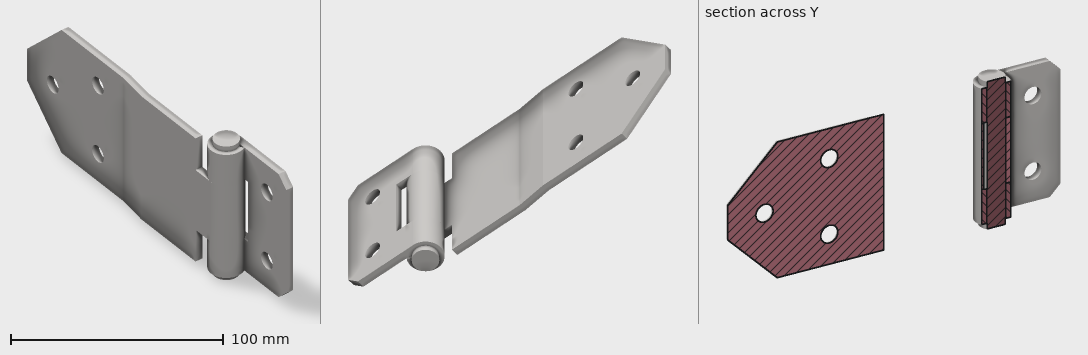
import cadquery as cq
import math


length = 185.0
height = 72.0
plate_thickness = 4.0
tip_to_pin = 145.0
pin_to_leaf_end = length - tip_to_pin

barrel_radius = 8.97
pin_radius = 6.5
pin_length = 78.0
middle_knuckle_height = 35.0
side_knuckle_height = (height - middle_knuckle_height) / 2
plate_inner_offset = barrel_radius - plate_thickness
curl_gap_angle = 1.5
curl_end_angle = math.asin(plate_inner_offset / barrel_radius) - math.radians(curl_gap_angle)

tip_taper = 26.8
bend_start = 75.0 - tip_to_pin
bend_end = 91.0 - tip_to_pin
bend_offset = 2.0
strap_clearance = 12.0

leaf_chamfer = 6.0
leaf_clearance = 10.5

hole_diameter = 9.0
hole_height = 20.0
strap_tip_hole_x = 20.0 - tip_to_pin
strap_pair_x = 55.0 - tip_to_pin
strap_holes = [
    (strap_tip_hole_x, 0),
    (strap_pair_x, hole_height),
    (strap_pair_x, -hole_height),
]
leaf_hole_x = 25.0
leaf_holes = [(leaf_hole_x, hole_height), (leaf_hole_x, -hole_height)]


def block(x_min, x_max, z_size, z_center=0):
    """Box between two X positions, deep enough in Y to cross the whole hinge."""
    return (
        cq.Workplane("XY")
        .box(x_max - x_min, 4 * barrel_radius, z_size)
        .translate(((x_min + x_max) / 2, 0, z_center))
    )


def extrude_centered(profile, z_size):
    return profile.extrude(z_size / 2, both=True)


def screw_holes(positions):
    """Cylinders along Y at the given (x, z) positions."""
    return (
        cq.Workplane("XZ")
        .pushPoints(positions)
        .circle(hole_diameter / 2)
        .extrude(2 * barrel_radius, both=True)
    )


def polar(radius, angle):
    return (radius * math.cos(angle), radius * math.sin(angle))


def curled_plate(plate_end):
    """Plate on the +Y side of the pin, running to +X, with its end rolled round the pin."""
    bore_meet_x = math.sqrt(pin_radius**2 - plate_inner_offset**2)
    bore_meet_angle = math.atan2(plate_inner_offset, bore_meet_x)
    bore_middle_angle = (bore_meet_angle + curl_end_angle) / 2 + math.pi
    profile = (
        cq.Workplane("XY")
        .moveTo(plate_end, barrel_radius)
        .lineTo(0, barrel_radius)
        .threePointArc((-barrel_radius, 0), polar(barrel_radius, curl_end_angle))
        .lineTo(*polar(pin_radius, curl_end_angle))
        .threePointArc(
            polar(pin_radius, bore_middle_angle),
            (bore_meet_x, plate_inner_offset),
        )
        .lineTo(plate_end, plate_inner_offset)
        .close()
    )
    return extrude_centered(profile, height)


def make_leaf():
    plate = (
        curled_plate(pin_to_leaf_end)
        .faces(">X")
        .edges("|Y")
        .chamfer(leaf_chamfer)
    )
    knuckle_notch = block(-leaf_clearance, leaf_clearance, middle_knuckle_height)
    return plate.cut(knuckle_notch).cut(screw_holes(leaf_holes))


def bent_plate():
    """Pointed strap plate with its shallow bend, up to the start of the curled plate."""
    front = -barrel_radius
    back = front + plate_thickness
    bend_angle = math.atan2(bend_offset, bend_end - bend_start)
    back_shift = plate_thickness * math.tan(bend_angle / 2)
    profile = (
        cq.Workplane("XY")
        .moveTo(-tip_to_pin, front + bend_offset)
        .lineTo(bend_start, front + bend_offset)
        .lineTo(bend_end, front)
        .lineTo(-strap_clearance, front)
        .lineTo(-strap_clearance, back)
        .lineTo(bend_end + back_shift, back)
        .lineTo(bend_start + back_shift, back + bend_offset)
        .lineTo(-tip_to_pin, back + bend_offset)
        .close()
    )
    return (
        extrude_centered(profile, height)
        .faces("<X")
        .edges("|Y")
        .chamfer(tip_taper)
    )


def make_strap():
    knuckle = curled_plate(strap_clearance).rotate((0, 0, 0), (0, 0, 1), 180)
    for side in (-1, 1):
        side_center = side * (middle_knuckle_height + side_knuckle_height) / 2
        knuckle = knuckle.cut(
            block(-strap_clearance, strap_clearance, side_knuckle_height, side_center)
        )
    return bent_plate().union(knuckle).clean().cut(screw_holes(strap_holes))


def make_pin():
    return extrude_centered(cq.Workplane("XY").circle(pin_radius), pin_length)


strap = make_strap()
leaf = make_leaf()
pin = make_pin()

result = cq.Compound.makeCompound([body.solids().val() for body in (strap, leaf, pin)])